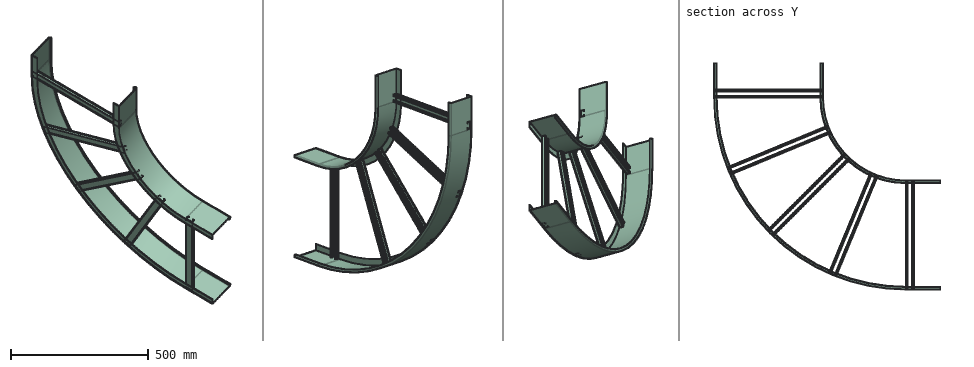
import cadquery as cq
import math

overall_size = 825.0
overall_depth = 110.0
bend_angle = 90.0
straight_length = 125.0
rail_spacing = 399.0
outer_radius = overall_size - straight_length
inner_radius = outer_radius - rail_spacing

sheet = 2.0
flange_width = 25.5
hem_radius = 6.0
hem_return = 2.5

rung_width = 30.0
rung_depth = 15.0
rung_clearance = 2.0
rung_lip = 7.5
rung_sheet = 2.5
curved_rung_count = 3
rung_pitch = bend_angle / (curved_rung_count + 1)
rail_inset = sheet + rung_clearance


def rail_section(web_radius, side):
    """Section in the XY plane; side is +1 when the flanges point to the bend axis, else -1."""

    def at(across, depth):
        return (-web_radius + side * across, depth)

    hem_start = overall_depth - hem_radius
    hem_inside = hem_radius - sheet
    return (
        cq.Workplane("XY")
        .moveTo(*at(0, 0))
        .lineTo(*at(flange_width, 0))
        .lineTo(*at(flange_width, sheet))
        .lineTo(*at(sheet, sheet))
        .lineTo(*at(sheet, hem_start))
        .threePointArc(at(hem_radius, hem_start + hem_inside), at(2 * hem_radius - sheet, hem_start))
        .lineTo(*at(2 * hem_radius - sheet, hem_start - hem_return))
        .lineTo(*at(2 * hem_radius, hem_start - hem_return))
        .lineTo(*at(2 * hem_radius, hem_start))
        .threePointArc(at(hem_radius, overall_depth), at(0, hem_start))
        .close()
    )


def make_rail(web_radius, side):
    """One rail: straight run, quarter bend and second straight run as one solid."""
    upper_run = rail_section(web_radius, side).extrude(straight_length)
    bend = rail_section(web_radius, side).revolve(bend_angle, (0, 0), (0, -1))
    lower_run = (
        rail_section(web_radius, side)
        .extrude(-straight_length)
        .rotate((0, 0, 0), (0, 1, 0), -bend_angle)
    )
    return upper_run.union(bend).union(lower_run)


def make_rung(angle, offset, end_radius):
    """A rung between the webs, turned from -X towards -Z and shifted sideways by offset."""
    start_radius = inner_radius + rail_inset
    half_width = rung_width / 2
    back = rail_inset + rung_depth
    half_channel = (
        cq.Workplane("YZ", origin=(-end_radius, 0, offset))
        .moveTo(rail_inset, 0)
        .lineTo(rail_inset, -half_width)
        .lineTo(back, -half_width)
        .lineTo(back, rung_lip - half_width)
        .lineTo(back - rung_sheet, rung_lip - half_width)
        .lineTo(back - rung_sheet, rung_sheet - half_width)
        .lineTo(rail_inset + rung_sheet, rung_sheet - half_width)
        .lineTo(rail_inset + rung_sheet, 0)
        .close()
        .extrude(end_radius - start_radius)
    )
    other_half = half_channel.mirror("XY", (0, 0, offset))
    channel = half_channel.union(other_half)
    return channel.rotate((0, 0, 0), (0, 1, 0), -angle)


outer_rail = make_rail(outer_radius, 1)
inner_rail = make_rail(inner_radius, -1)

rung_end = outer_radius - rail_inset
curved_end = math.sqrt(rung_end**2 - (rung_width / 2) ** 2)
rungs = [make_rung(0, rung_width / 2, rung_end)]
for number in range(1, curved_rung_count + 1):
    rungs.append(make_rung(number * rung_pitch, 0, curved_end))
rungs.append(make_rung(bend_angle, -rung_width / 2, rung_end))

result = cq.Compound.makeCompound(
    [outer_rail.val(), inner_rail.val(), *[rung.val() for rung in rungs]]
)